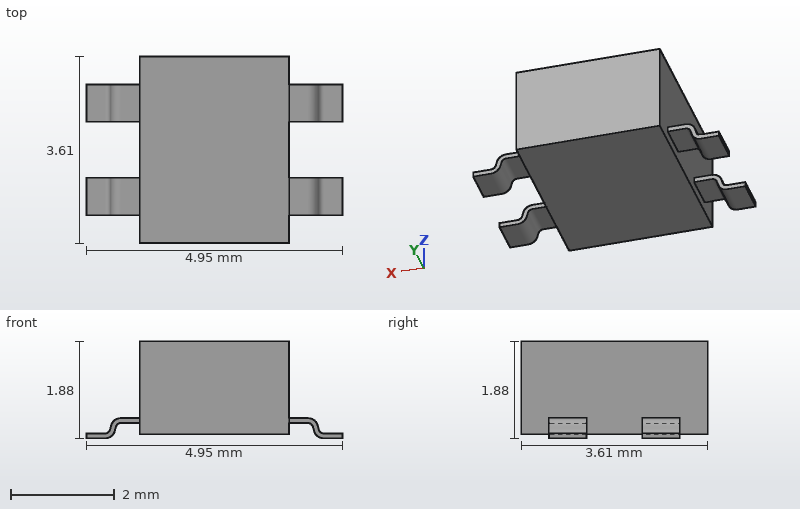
import cadquery as cq
import math

overall_length = 4.95
housing_length = 2.89
housing_width = 3.61
housing_height = 1.8
standoff = 0.08

lead_width = 0.73
lead_spacing = 1.8
lead_thickness = 0.1
lead_height = 0.395
foot_length = 0.36
inner_bend_radius = 0.1
bend_angle = math.radians(75)

outer_bend_radius = inner_bend_radius + lead_thickness
tip_x = overall_length / 2
foot_start_x = tip_x - foot_length
shoulder_z = lead_height - lead_thickness

radius_sum = inner_bend_radius + outer_bend_radius
bend_drop = lead_height - lead_thickness
leg_drop = bend_drop - radius_sum * (1 - math.cos(bend_angle))
bend_run = radius_sum * math.sin(bend_angle) + leg_drop / math.tan(bend_angle)
shoulder_end_x = foot_start_x - bend_run

upper_center = (shoulder_end_x, lead_height - outer_bend_radius)
lower_center = (foot_start_x, outer_bend_radius)


def make_housing():
    """Plain rectangular block raised above the soles of the feet."""
    return cq.Workplane("XY").workplane(offset=standoff).box(
        housing_length, housing_width, housing_height, centered=(True, True, False)
    )


def upper_point(radius, angle):
    """Point on the shoulder bend, turned by angle from its top."""
    return (
        upper_center[0] + radius * math.sin(angle),
        upper_center[1] + radius * math.cos(angle),
    )


def lower_point(radius, angle):
    """Point on the foot bend, turned by angle from its bottom."""
    return (
        lower_center[0] - radius * math.sin(angle),
        lower_center[1] - radius * math.cos(angle),
    )


def make_lead(center_y):
    """Gull-wing lead on the +X side, butting against the housing wall."""
    half_angle = bend_angle / 2
    profile = (
        cq.Workplane("XZ", origin=(0, center_y + lead_width / 2, 0))
        .moveTo(housing_length / 2, lead_height)
        .lineTo(shoulder_end_x, lead_height)
        .threePointArc(
            upper_point(outer_bend_radius, half_angle), upper_point(outer_bend_radius, bend_angle)
        )
        .lineTo(*lower_point(inner_bend_radius, bend_angle))
        .threePointArc(lower_point(inner_bend_radius, half_angle), (foot_start_x, lead_thickness))
        .lineTo(tip_x, lead_thickness)
        .lineTo(tip_x, 0)
        .lineTo(foot_start_x, 0)
        .threePointArc(
            lower_point(outer_bend_radius, half_angle), lower_point(outer_bend_radius, bend_angle)
        )
        .lineTo(*upper_point(inner_bend_radius, bend_angle))
        .threePointArc(upper_point(inner_bend_radius, half_angle), (shoulder_end_x, shoulder_z))
        .lineTo(housing_length / 2, shoulder_z)
        .close()
    )
    return profile.extrude(lead_width)


housing = make_housing()

leads = []
for center_y in (-lead_spacing / 2, lead_spacing / 2):
    right_lead = make_lead(center_y)
    leads.append(right_lead.val())
    leads.append(right_lead.mirror("YZ").val())

result = cq.Compound.makeCompound([housing.val(), *leads])